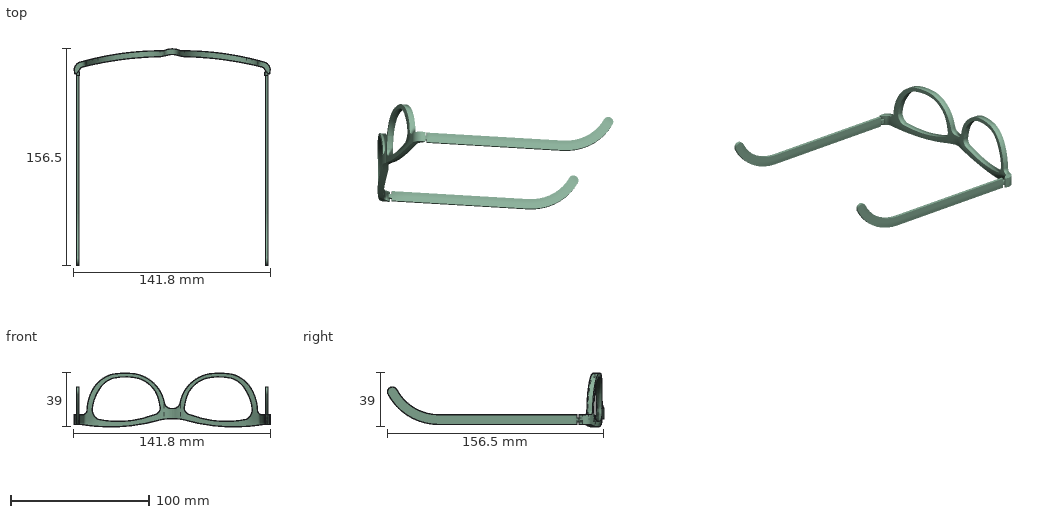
import cadquery as cq
import math


length = 156.5
half_width = 70.9
temple_height = 7.2
brow_top = 37.3
rim_bottom = -1.7
cut_margin = 1.5

temple_thickness = 2.0
temple_outer_x = -69.3
tip_radius = temple_height / 2
tip_rise = 20.0
bend_radius = 37.9
bend_angle = math.acos(1 - tip_rise / bend_radius)
bend_y = -length + tip_radius + bend_radius * math.sin(bend_angle)
bend_centre_z = temple_height / 2 + bend_radius

corner_front_x = -65.6
corner_rear_x = -65.0

hinge_outer_x = -70.5
hinge_y = -18.2
shoulder_y = -19.4
tongue_bottom = 1.9
tongue_top = 4.9
tongue_inner_x = -66.8
tongue_front_y = -17.0
tongue_nose_x = -67.6
miter_inner = (-67.0, -15.5)
miter_outer = (temple_outer_x, hinge_y)
miter_slope = (miter_inner[1] - miter_outer[1]) / (miter_inner[0] - miter_outer[0])
tongue_nose_y = hinge_y + miter_slope * (tongue_nose_x - temple_outer_x)

bridge_top = 11.7
bridge_bottom = 4.2
bridge_flat = 1.9
bridge_depth = 4.2
blend_start = (-5.6, 15.8)


def add_arcs(sketch, arcs):
    """Extend an outline by three-point arcs, each given as (middle, end)."""
    for middle, end in arcs:
        sketch = sketch.threePointArc(middle, end)
    return sketch


def plan_prism():
    """Curved band of the left half seen from above, taller than the frame."""
    band = cq.Workplane("XY", origin=(0, 0, rim_bottom - cut_margin)).moveTo(0, 0)
    band = band.lineTo(-bridge_flat, -0.2)
    front_arcs = [
        ((-4.0, -0.6), (-6.1, -1.4)),
        ((-36.0, -3.3), (corner_front_x, -9.4)),
        ((-69.5, -11.6), (-half_width, -15.2)),
    ]
    band = add_arcs(band, front_arcs)
    band = band.lineTo(hinge_outer_x, hinge_y).lineTo(*miter_outer).lineTo(*miter_inner)
    band = band.threePointArc((-66.2, -14.1), (corner_rear_x, -13.3))
    band = band.threePointArc((-37.1, -8.0), (-8.3, -5.8))
    band = band.threePointArc((-5.0, -5.2), (-bridge_flat, -4.4)).lineTo(0, -bridge_depth).close()
    return band.extrude(brow_top - rim_bottom + 2 * cut_margin)


def rim_prism():
    """Front outline of the left half, extruded through the depth of the frame."""
    rim = cq.Workplane("XZ").moveTo(-half_width, 0).lineTo(-half_width, temple_height)
    rim = rim.lineTo(corner_rear_x, temple_height)
    outer_arcs = [
        ((-62.8, 8.0), (-61.7, 10.3)),
        ((-60.4, 18.5), (-57.3, 25.7)),
        ((-51.0, 32.7), (-42.3, 36.6)),
        ((-33.8, brow_top), (-26.8, 36.8)),
        ((-13.0, 29.6), blend_start),
        ((-3.9, 12.8), (0, bridge_top)),
    ]
    rim = add_arcs(rim, outer_arcs).lineTo(0, bridge_bottom)
    lower_arcs = [
        ((-4.0, 4.0), (-8.3, 3.5)),
        ((-43.8, rim_bottom), (corner_front_x, 0)),
    ]
    return add_arcs(rim, lower_arcs).close().extrude(-hinge_y + cut_margin)


def lens_opening():
    """Left lens hole, cut straight through along Y."""
    lens = cq.Workplane("XZ").moveTo(-57.8, 10.6)
    lens_arcs = [
        ((-56.4, 17.8), (-52.9, 25.0)),
        ((-48.5, 30.4), (-42.4, 33.5)),
        ((-32.9, 34.5), (-24.4, 33.3)),
        ((-16.0, 28.5), (-11.5, 22.4)),
        ((-9.9, 17.8), (-9.1, 13.8)),
        ((-9.5, 9.4), (-13.0, 7.2)),
        ((-34.5, 2.5), (-53.7, 3.9)),
        ((-56.4, 6.4), (-57.8, 10.6)),
    ]
    return add_arcs(lens, lens_arcs).close().extrude(-hinge_y + cut_margin)


def make_frame():
    """Front frame: both rims, the bridge and the hinge ends."""
    left = plan_prism().intersect(rim_prism()).cut(lens_opening())
    return left.union(left.mirror("YZ"))


def bend_point(radius, angle):
    """(Y, Z) of a point on the curled ear end, with the angle measured from its start."""
    return (bend_y - radius * math.sin(angle), bend_centre_z - radius * math.cos(angle))


def make_temple(is_right):
    """Straight bar with a curled, rounded ear end and a hinge tongue."""
    side = cq.Workplane("YZ", origin=(temple_outer_x, 0, 0))
    bar = side.moveTo(shoulder_y, 0).lineTo(shoulder_y, temple_height)
    bar = bar.lineTo(bend_y, temple_height)
    upper_radius = bend_radius - temple_height / 2
    lower_radius = bend_radius + temple_height / 2
    tip_y, tip_z = bend_point(bend_radius, bend_angle)
    tip_end = (tip_y - tip_radius * math.cos(bend_angle), tip_z + tip_radius * math.sin(bend_angle))
    curl_arcs = [
        (bend_point(upper_radius, bend_angle / 2), bend_point(upper_radius, bend_angle)),
        (tip_end, bend_point(lower_radius, bend_angle)),
        (bend_point(lower_radius, bend_angle / 2), (bend_y, 0)),
    ]
    bar = add_arcs(bar, curl_arcs).close().extrude(temple_thickness)
    tongue_outline = [
        (temple_outer_x, shoulder_y),
        miter_outer,
        (tongue_nose_x, tongue_nose_y),
        (tongue_inner_x, tongue_front_y),
        (tongue_inner_x, shoulder_y),
    ]
    tongue = cq.Workplane("XY", origin=(0, 0, tongue_bottom)).polyline(tongue_outline).close()
    temple = bar.union(tongue.extrude(tongue_top - tongue_bottom))
    return temple.mirror("YZ") if is_right else temple


frame = make_frame()
temples = [make_temple(is_right) for is_right in (False, True)]
result = cq.Compound.makeCompound([frame.val(), *[temple.val() for temple in temples]])